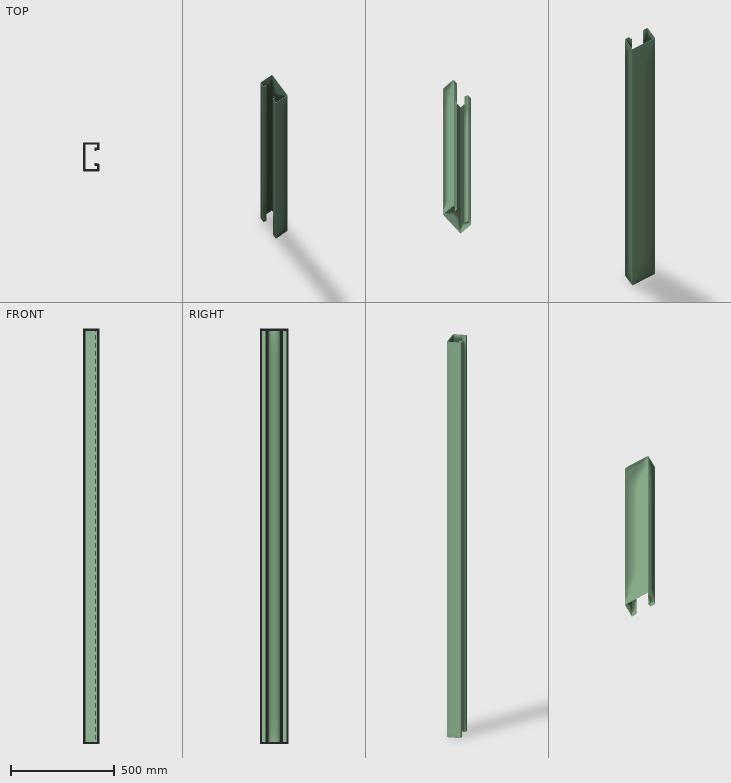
import cadquery as cq

DEPTH = 70.0
WIDTH = 130.0
LENGTH = 2000.0

WALL = 1.5
INNER_RADIUS = 1.5
OUTER_RADIUS = INNER_RADIUS + WALL

LIP_LENGTH = 27.0
RETURN_DEPTH = 15.0
HOOK_LENGTH = 6.0

WEB_X = -DEPTH / 2
FRONT_X = DEPTH / 2
FLANGE_Y = WIDTH / 2
RETURN_FAR_Y = FLANGE_Y - LIP_LENGTH
RETURN_NEAR_Y = RETURN_FAR_Y + WALL
HOOK_INNER_X = FRONT_X - RETURN_DEPTH
HOOK_OUTER_X = HOOK_INNER_X + WALL
HOOK_END_Y = RETURN_NEAR_Y - HOOK_LENGTH

OUTER_CORNERS = [
    (WEB_X, FLANGE_Y),
    (FRONT_X, FLANGE_Y),
    (FRONT_X, RETURN_FAR_Y),
    (HOOK_INNER_X, RETURN_NEAR_Y),
]
INNER_CORNERS = [
    (WEB_X + WALL, FLANGE_Y - WALL),
    (FRONT_X - WALL, FLANGE_Y - WALL),
    (FRONT_X - WALL, RETURN_NEAR_Y),
    (HOOK_OUTER_X, RETURN_FAR_Y),
]


def mirrored(points):
    """Points reflected across the Y = 0 plane."""
    return [(x, -y) for x, y in points]


def sharp_channel():
    """Channel of constant wall thickness with square bends."""
    web_outer, flange_outer, lip_outer, hook_outer = OUTER_CORNERS
    web_inner, flange_inner, lip_inner, hook_inner = INNER_CORNERS
    half_outline = [
        web_outer,
        flange_outer,
        lip_outer,
        hook_inner,
        (HOOK_OUTER_X, HOOK_END_Y),
        (HOOK_INNER_X, HOOK_END_Y),
        hook_outer,
        lip_inner,
        flange_inner,
        web_inner,
    ]
    outline = half_outline + mirrored(reversed(half_outline))
    return cq.Workplane("XY").polyline(outline).close().extrude(LENGTH)


def round_bends(body, corners, radius):
    """Fillet the lengthwise edges that pass through the given corners and their mirror images."""
    for x, y in corners + mirrored(corners):
        edge = cq.NearestToPointSelector((x, y, LENGTH / 2))
        body = body.edges("|Z").edges(edge).fillet(radius)
    return body


channel = sharp_channel()
channel = round_bends(channel, OUTER_CORNERS, OUTER_RADIUS)
channel = round_bends(channel, INNER_CORNERS, INNER_RADIUS)

result = channel